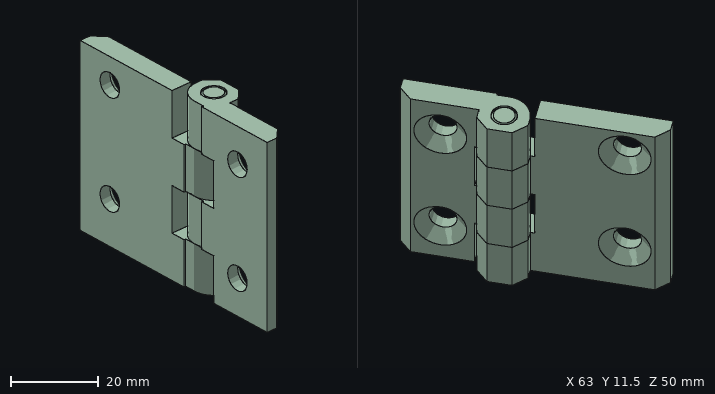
import cadquery as cq

width = 63.0
height = 50.0
depth = 11.5

plate_thickness = 6.0
bevel = 3.0
axis_x = 38.0
knuckle_radius = 6.0
knuckle_clearance = 1.0
relief_depth = 0.5
relief_half_width = 2.95
knuckle_count = 4
knuckle_height = height / knuckle_count
axis_y = knuckle_radius + relief_depth

pin_diameter = 6.0
pin_chamfer = 0.5

hole_diameter = 6.5
countersink_diameter = 12.3
hole_edge_distance = 10.0
hole_spacing = 30.0
left_holes_z = 27.5
right_holes_z = height / 2


def leaf_profile(edge_reach):
    """Section of a leaf that runs towards +X from a hinge axis at X = 0."""
    corner = knuckle_radius - bevel
    arc_end = (0, relief_depth)
    arc_middle = (
        -knuckle_radius * 0.5**0.5,
        axis_y - knuckle_radius * 0.5**0.5,
    )
    return (
        cq.Workplane("XY")
        .moveTo(-knuckle_radius, axis_y)
        .threePointArc(arc_middle, arc_end)
        .lineTo(relief_half_width, relief_depth)
        .lineTo(relief_half_width, 0)
        .lineTo(edge_reach, 0)
        .lineTo(edge_reach, plate_thickness - bevel)
        .lineTo(edge_reach - bevel, plate_thickness)
        .lineTo(knuckle_radius, plate_thickness)
        .lineTo(knuckle_radius, depth - bevel)
        .lineTo(corner, depth)
        .lineTo(-corner, depth)
        .lineTo(-knuckle_radius, depth - bevel)
        .close()
    )


def knuckle_gap(level):
    """Space cleared in one leaf for the other leaf's knuckle."""
    half_width = knuckle_radius + knuckle_clearance
    return (
        cq.Workplane("XY")
        .box(2 * half_width, depth, knuckle_height, centered=(True, False, False))
        .translate((0, 0, level * knuckle_height))
    )


def screw_hole(x, z):
    """Through hole with a 90 degree countersink at the knuckle side of the plate."""
    radius = hole_diameter / 2
    sink_radius = countersink_diameter / 2
    sink_depth = sink_radius - radius
    return (
        cq.Workplane("XY")
        .lineTo(radius, 0)
        .lineTo(radius, plate_thickness - sink_depth)
        .lineTo(sink_radius, plate_thickness)
        .lineTo(0, plate_thickness)
        .close()
        .revolve(360, (0, 0, 0), (0, 1, 0))
        .translate((x, 0, z))
    )


def make_leaf(edge_reach, holes_z, first_gap):
    """Leaf with its knuckles, pointing towards +X from a hinge axis at X = 0."""
    leaf = leaf_profile(edge_reach).extrude(height)
    for level in range(first_gap, knuckle_count, 2):
        leaf = leaf.cut(knuckle_gap(level))
    for side in (-1, 1):
        hole_z = holes_z + side * hole_spacing / 2
        leaf = leaf.cut(screw_hole(edge_reach - hole_edge_distance, hole_z))
    return leaf


def make_pin():
    return (
        cq.Workplane("XY")
        .center(axis_x, axis_y)
        .circle(pin_diameter / 2)
        .extrude(height)
        .faces(">Z")
        .chamfer(pin_chamfer)
    )


def make_pin_hole():
    return cq.Workplane("XY").center(axis_x, axis_y).circle(pin_diameter / 2).extrude(height)


left_leaf = (
    make_leaf(axis_x, left_holes_z, first_gap=1)
    .mirror("YZ")
    .translate((axis_x, 0, 0))
    .union(make_pin())
)

right_leaf = (
    make_leaf(width - axis_x, right_holes_z, first_gap=0)
    .translate((axis_x, 0, 0))
    .cut(make_pin_hole())
)

result = cq.Compound.makeCompound([left_leaf.val(), right_leaf.val()])